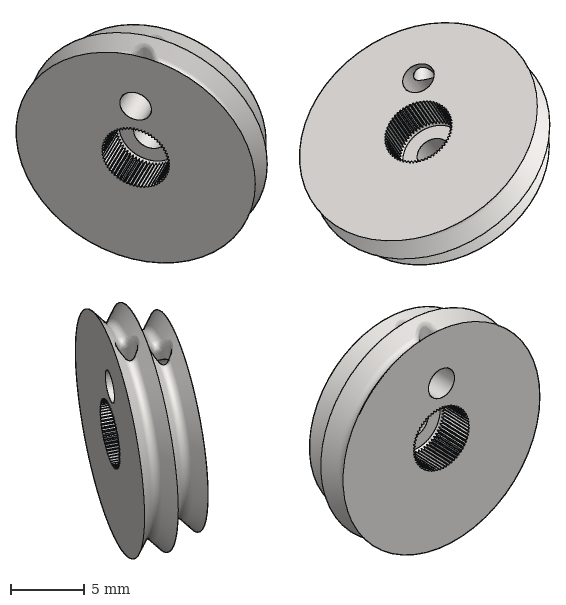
import cadquery as cq
import math

large_rim_radius = 8.72
small_rim_radius = 7.76
part_width = 4.8
sheave_width = part_width / 2

flank_width = 0.8
bottom_width = sheave_width - 2 * flank_width
flank_depth = 0.98
flank_angle = math.atan2(flank_depth, flank_width)
bottom_sag = bottom_width / 2 * math.tan(flank_angle / 2)

shaft_hole_diameter = 2.4
cord_hole_diameter = 2.3
cord_hole_height = 4.4

tooth_count = 60
tooth_tip_radius = 2.34
tooth_root_radius = 2.46
root_flat_share = 0.2
socket_floor_radius = 4.5 / 2
socket_depth = 2.9
socket_cone_length = 0.28

outlet_diameter = 1.5
outlet_mouth_radius = 0.5
mouth_margin = 0.17


def sheave(rim_radius, front):
    """Disc with a rounded V-groove around its rim, starting at y = front."""
    flank_end = rim_radius - flank_depth
    profile = (
        cq.Workplane("XY")
        .moveTo(0, front)
        .lineTo(rim_radius, front)
        .lineTo(flank_end, front + flank_width)
        .threePointArc(
            (flank_end - bottom_sag, front + sheave_width / 2),
            (flank_end, front + flank_width + bottom_width),
        )
        .lineTo(rim_radius, front + sheave_width)
        .lineTo(0, front + sheave_width)
        .close()
    )
    return profile.revolve(360, (0, 0, 0), (0, 1, 0))


def axial_hole(diameter, height):
    """Cylinder along Y through the whole part, centred at z = height."""
    return (
        cq.Workplane("XZ", origin=(0, 0, height))
        .circle(diameter / 2)
        .extrude(-part_width)
    )


def serrated_socket():
    """Toothed blind bore, trimmed by a cone at its inner end."""
    pitch = 2 * math.pi / tooth_count
    half_flat = root_flat_share * pitch / 2
    outline = []
    for i in range(tooth_count):
        tip_angle = i * pitch
        root_angle = tip_angle + pitch / 2
        for radius, angle in (
            (tooth_tip_radius, tip_angle),
            (tooth_root_radius, root_angle - half_flat),
            (tooth_root_radius, root_angle + half_flat),
        ):
            outline.append((radius * math.cos(angle), radius * math.sin(angle)))
    toothed_bore = cq.Workplane("XZ").polyline(outline).close().extrude(-socket_depth)
    envelope = (
        cq.Workplane("XY")
        .polyline([
            (0, 0),
            (tooth_root_radius, 0),
            (tooth_root_radius, socket_depth - socket_cone_length),
            (socket_floor_radius, socket_depth),
            (0, socket_depth),
        ])
        .close()
        .revolve(360, (0, 0, 0), (0, 1, 0))
    )
    return toothed_bore.intersect(envelope)


def with_cord_outlet(body, rim_radius, front):
    """Drill a radial hole from the groove into the cord hole and round its mouth."""
    outlet_y = front + sheave_width / 2
    drill = (
        cq.Workplane("XY", origin=(0, outlet_y, cord_hole_height))
        .circle(outlet_diameter / 2)
        .extrude(rim_radius - cord_hole_height)
    )
    drilled = body.cut(drill)
    groove_bottom = rim_radius - flank_depth - bottom_sag
    reach = outlet_diameter / 2 + mouth_margin
    mouth_zone = cq.selectors.BoxSelector(
        (-reach, outlet_y - reach, groove_bottom - mouth_margin),
        (reach, outlet_y + reach, rim_radius),
        boundingbox=True,
    )
    return drilled.edges(mouth_zone).fillet(outlet_mouth_radius)


sheaves = ((large_rim_radius, 0), (small_rim_radius, sheave_width))
body = sheave(*sheaves[0]).union(sheave(*sheaves[1]))
body = body.cut(axial_hole(cord_hole_diameter, cord_hole_height))
for rim_radius, front in sheaves:
    body = with_cord_outlet(body, rim_radius, front)
body = body.cut(axial_hole(shaft_hole_diameter, 0))
result = body.cut(serrated_socket())